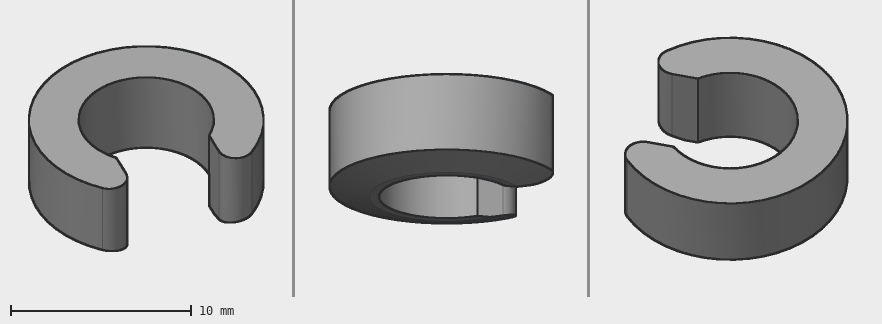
import cadquery as cq
import math

outer_radius = 6.5
bore_radius = 3.74
slot_width = 5.5
tip_radius = 1.0
height = 5.0
flat_radius = 4.27
cone_angle = 15.0

cone_height = (outer_radius - flat_radius) * math.tan(math.radians(cone_angle))


def open_ring():
    """C-shaped ring, open toward +X, with rounded tips."""
    ring = cq.Workplane("XY").circle(outer_radius).circle(bore_radius).extrude(height)
    slot = cq.Workplane("XY").rect(outer_radius, slot_width).extrude(height)
    slot = slot.translate((outer_radius / 2, 0, 0))
    return ring.cut(slot).edges("|Z").edges(">X").fillet(tip_radius)


def coned_envelope():
    """Solid disc whose underside rises as a cone toward the rim."""
    return (
        cq.Workplane("XZ")
        .moveTo(0, 0)
        .lineTo(flat_radius, 0)
        .lineTo(outer_radius, cone_height)
        .lineTo(outer_radius, height)
        .lineTo(0, height)
        .close()
        .revolve(360, (0, 0, 0), (0, 1, 0))
    )


result = open_ring().intersect(coned_envelope())